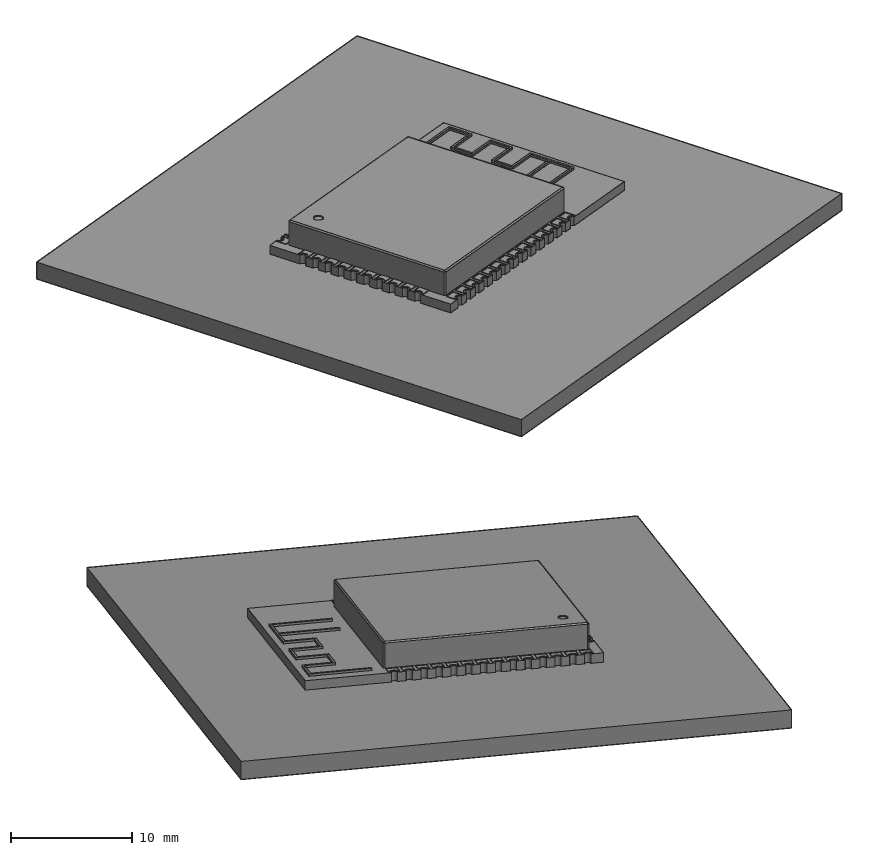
import cadquery as cq

carrier_length = 48.25
carrier_width = 47.0
carrier_thickness = 1.6

module_width = 18.0
module_length = 25.5
module_thickness = 0.8
module_center_y = 1.15
module_left = -module_width / 2
module_right = module_width / 2
module_front = module_center_y - module_length / 2
module_top = carrier_thickness + module_thickness

can_width = 15.65
can_front = -10.65
can_back = 6.9
can_top = 4.75
can_edge_chamfer = 0.12
can_height = can_top - module_top

mark_diameter = 0.8
mark_depth = 0.1
mark_x = -6.0
mark_y = -8.95

side_contacts = 14
front_contacts = 10
side_contact_span = 16.5
first_side_contact_y = -10.25
contact_pitch = side_contact_span / (side_contacts - 1)
front_contact_span = contact_pitch * (front_contacts - 1)
pad_width = 0.95
pad_depth = 1.0
pad_thickness = 0.05
notch_diameter = 0.55
pad_relief_diameter = 0.8

trace_width = 0.2
trace_height = 0.2
trace_back = 13.2
meander_front = 10.55
leg_front = 8.05
meander_x = [-7.95, -5.9, -3.85, -1.85, 0.1]
feed_leg_x = 2.05
ground_leg_x = 4.3


def block(x_min, x_max, y_min, y_max, z_min, height):
    """Upright box between the given limits."""
    return (
        cq.Workplane("XY", origin=(0, 0, z_min))
        .center((x_min + x_max) / 2, (y_min + y_max) / 2)
        .rect(x_max - x_min, y_max - y_min)
        .extrude(height)
    )


def disc(x, y, z_min, diameter, height):
    """Upright cylinder standing at the given point."""
    return cq.Workplane("XY", origin=(x, y, z_min)).circle(diameter / 2).extrude(height)


def contact_places():
    """Middle of each contact on the board edge, with the contact's X and Y size."""
    places = []
    for index in range(side_contacts):
        y = first_side_contact_y + index * contact_pitch
        for x in (module_left, module_right):
            places.append((x, y, 2 * pad_depth, pad_width))
    for index in range(front_contacts):
        x = index * contact_pitch - front_contact_span / 2
        places.append((x, module_front, pad_width, 2 * pad_depth))
    return places


def make_carrier():
    return cq.Workplane("XY").box(
        carrier_length, carrier_width, carrier_thickness, centered=(True, True, False)
    )


def make_module_board():
    """Board with half-round notches in its edges and a relieved contact pad around each notch."""
    module_back = module_front + module_length
    outline = (module_left, module_right, module_front, module_back)
    board = block(*outline, carrier_thickness, module_thickness)
    pads = cq.Workplane("XY")
    for x, y, size_x, size_y in contact_places():
        pad_limits = (x - size_x / 2, x + size_x / 2, y - size_y / 2, y + size_y / 2)
        relief = disc(x, y, module_top, pad_relief_diameter, pad_thickness)
        pads = pads.add(block(*pad_limits, module_top, pad_thickness).cut(relief))
        board = board.cut(disc(x, y, carrier_thickness, notch_diameter, module_thickness))
    pads_on_board = pads.combine().intersect(block(*outline, module_top, pad_thickness))
    return board.union(pads_on_board)


def make_can():
    can = block(-can_width / 2, can_width / 2, can_front, can_back, module_top, can_height)
    can = can.edges("|Z or >Z").chamfer(can_edge_chamfer)
    return can.cut(disc(mark_x, mark_y, can_top - mark_depth, mark_diameter, mark_depth))


def trace_run(x_min, x_max, y_min, y_max):
    """Straight piece of trace around the centre line between two points."""
    half = trace_width / 2
    return block(x_min - half, x_max + half, y_min - half, y_max + half, module_top, trace_height)


def make_antenna():
    antenna = trace_run(meander_x[0], meander_x[0], leg_front, trace_back)
    for x in meander_x[1:]:
        antenna = antenna.union(trace_run(x, x, meander_front, trace_back))
    for index in range(len(meander_x) - 1):
        y = trace_back if index % 2 == 0 else meander_front
        antenna = antenna.union(trace_run(meander_x[index], meander_x[index + 1], y, y))
    antenna = antenna.union(trace_run(meander_x[-1], ground_leg_x, trace_back, trace_back))
    for x in (feed_leg_x, ground_leg_x):
        antenna = antenna.union(trace_run(x, x, leg_front, trace_back))
    return antenna


def make_module():
    return make_module_board().union(make_can()).union(make_antenna())


carrier = make_carrier()
module = make_module()

result = cq.Compound.makeCompound([carrier.val(), *module.solids().vals()])